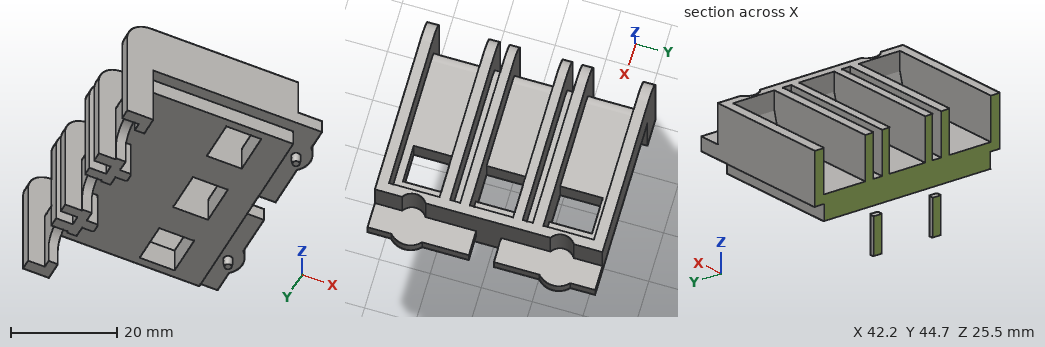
import cadquery as cq

width = 44.7
height = 25.5
body_length = 35.95
top_corner_radius = 5.0

plate_front = 3.5
plate_back = 5.45
floor_bottom = 13.9
floor_top = 15.95
end_wall_inner = 34.0
slope_foot = 32.5
slope_top = 21.3

side_wall = 2.25
outer_partition = (12.15, 2.05)
inner_partition = (16.23, 1.88)
middle = width / 2
gap_start = sum(outer_partition)
gap_width = inner_partition[0] - gap_start
wall_spans = [(0, side_wall), outer_partition, inner_partition]
compartment_spans = [
    (side_wall, outer_partition[0]),
    (sum(inner_partition), width - sum(inner_partition)),
    (width - outer_partition[0], width - side_wall),
]

block_bottom = 10.35
window_start = 22.65
window_end = 30.0
window_margin = 3.8

arch_radius = 4.0
arch_top = 7.82
arch_pitch = 14.5

rib_end = 7.85
rib_height = 8.25
rib_round = 0.4

tab_end = 40.9
tab_top = 17.0
tab_notch = 4.9
boss_x = 38.15
boss_radius = 4.1
recess_x = 37.4
recess_radius = 2.73
boss_y_positions = (7.7, 36.8)
pin_x = 39.2
pin_diameter = 1.8
pin_tip_diameter = 1.35
pin_length = 1.07
pin_tip_length = 1.0


def box(x, y, z):
    """Box spanning the given (low, high) ranges along the three axes."""
    size = [high - low for low, high in (x, y, z)]
    return cq.Workplane("XY").box(*size, centered=False).translate((x[0], y[0], z[0]))


def cylinder(x, y, radius, z):
    """Upright cylinder spanning the (low, high) range along Z."""
    return cq.Workplane("XY", origin=(x, y, z[0])).circle(radius).extrude(z[1] - z[0])


def wall(start, thickness):
    """L-shaped wall with a rounded upper front corner."""
    profile = (
        cq.Workplane("XZ", origin=(0, start + thickness, 0))
        .polyline([
            (0, 0), (plate_back, 0), (plate_back, floor_bottom),
            (body_length, floor_bottom), (body_length, height), (0, height),
        ])
        .close()
        .extrude(thickness)
    )
    return profile.edges("|Y and <X and >Z").fillet(top_corner_radius)


def base():
    """Floor, front plate, end wall and underside block, all joined."""
    inner_y = (side_wall, width - side_wall)
    shell = box((plate_front, body_length), inner_y, (floor_bottom, floor_top))
    shell = shell.union(box((plate_front, plate_back), inner_y, (0, floor_top)))
    shell = shell.edges("|Y and <X and >Z").fillet(floor_top - floor_bottom)
    shell = shell.union(box((plate_back, body_length), inner_y, (block_bottom, floor_bottom)))
    return shell.union(box((end_wall_inner, body_length), (0, width), (floor_bottom, height)))


def end_slope(y_low, y_high):
    """Wedge that narrows a compartment towards the floor at its end wall."""
    return (
        cq.Workplane("XZ", origin=(0, y_high, 0))
        .polyline([(slope_foot, floor_top), (end_wall_inner, floor_top), (end_wall_inner, slope_top)])
        .close()
        .extrude(y_high - y_low)
    )


def window(y_low, y_high):
    """Opening through the floor, kept clear of the side walls."""
    y_range = (max(y_low, window_margin), min(y_high, width - window_margin))
    return box((window_start, window_end), y_range, (block_bottom, floor_top))


def arch(y):
    """Round-topped cable slot through the front plate."""
    spring = arch_top - arch_radius
    slot = box((plate_front, plate_back), (y - arch_radius, y + arch_radius), (0, spring))
    crown = (
        cq.Workplane("YZ", origin=(plate_front, y, spring))
        .circle(arch_radius)
        .extrude(plate_back - plate_front)
    )
    return slot.union(crown)


def rib(start):
    """Upright rib behind the plate, in line with a gap between partitions."""
    block = box((plate_back, rib_end), (start, start + gap_width), (0, rib_height))
    return block.edges("|Z and >X").fillet(rib_round)


def tab_boss(y):
    """Round boss on a tab, with a tapered pin below it."""
    pin_bottom = floor_bottom - pin_length
    tip = (
        cq.Workplane("XY", origin=(pin_x, y, pin_bottom))
        .circle(pin_diameter / 2)
        .workplane(offset=-pin_tip_length)
        .circle(pin_tip_diameter / 2)
        .loft()
    )
    boss = cylinder(boss_x, y, boss_radius, (floor_bottom, tab_top))
    pin = cylinder(pin_x, y, pin_diameter / 2, (pin_bottom, floor_bottom))
    return boss.union(pin).union(tip)


result = base()

for y_low, y_high in compartment_spans:
    result = result.union(end_slope(y_low, y_high))
    result = result.cut(window(y_low, y_high))

for start, thickness in wall_spans:
    result = result.union(wall(start, thickness))
    result = result.union(wall(width - start - thickness, thickness))

for offset in (-arch_pitch, 0, arch_pitch):
    result = result.cut(arch(middle + offset))

for start in (gap_start, width - gap_start - gap_width):
    result = result.union(rib(start))

tab_strip = box((body_length, tab_end), (0, width), (floor_bottom, tab_top))
notch_range = (middle - tab_notch / 2, middle + tab_notch / 2)
result = result.union(tab_strip.cut(box((body_length, tab_end), notch_range, (floor_bottom, tab_top))))

for y in boss_y_positions:
    result = result.union(tab_boss(y))
    result = result.cut(cylinder(recess_x, y, recess_radius, (tab_top, height)))